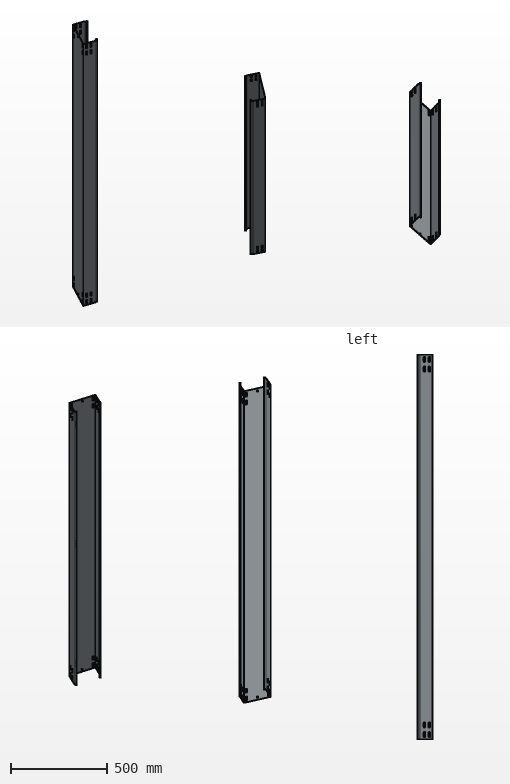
import cadquery as cq
import math

length = 2000.0
width = 150.0
depth = 80.0
sheet = 1.0

jog_start_y = 65.6
jog_inset = 2.5
jog_angle = math.radians(60)
bend_inner_radius = 1.0
curl_outer_radius = 4.0
curl_return_length = 3.0

slot_end_distances = (25.0, 75.0)
slot_length = 25.0
slot_width = 7.0
slot_axis_angle = 90
web_slot_side_distance = 12.5
flange_slot_rows_y = (17.5, 43.0)

web_hole_diameter = slot_width
web_hole_end_distance = 17.5

bend_radius = bend_inner_radius + sheet / 2
curl_radius = curl_outer_radius - sheet / 2
jog_slope_length = (jog_inset - 2 * bend_radius * (1 - math.cos(jog_angle))) / math.sin(jog_angle)
jog_height = 2 * bend_radius * math.sin(jog_angle) + jog_slope_length * math.cos(jog_angle)
upper_wall_length = depth - curl_outer_radius - jog_start_y - jog_height

flange_path = [
    (jog_start_y, 0),
    (bend_radius, jog_angle),
    (jog_slope_length, 0),
    (bend_radius, -jog_angle),
    (upper_wall_length, 0),
    (curl_radius, math.pi),
    (curl_return_length, 0),
]


def make_web():
    """Flat back of the channel."""
    return cq.Workplane("XY").box(width, sheet, length, centered=(True, False, False))


def trace_side(offset):
    """Points along the flange path, moved sideways by offset (positive is inward).

    Each entry is (end point,) for a straight stretch or (mid point, end point) for a bend;
    the first entry is the start point.
    """
    x, y, heading = -width / 2 + sheet / 2 + offset, 0.0, 0.0
    stretches = [((x, y),)]
    for size, angle in flange_path:
        if angle == 0:
            x += size * math.sin(heading)
            y += size * math.cos(heading)
            stretches.append(((x, y),))
            continue
        reach = math.copysign(size, angle) - offset
        center_x = x + reach * math.cos(heading)
        center_y = y - reach * math.sin(heading)
        bend_points = []
        for turned in (heading + angle / 2, heading + angle):
            x = center_x - reach * math.cos(turned)
            y = center_y + reach * math.sin(turned)
            bend_points.append((x, y))
        heading += angle
        stretches.append(tuple(bend_points))
    return stretches


def make_left_flange():
    """Flange at -X with the inward jog and the rolled top edge."""
    outer = trace_side(-sheet / 2)
    inner = trace_side(sheet / 2)
    profile = cq.Workplane("XY").moveTo(*outer[0][-1])
    for stretch in outer[1:]:
        profile = profile.lineTo(*stretch[0]) if len(stretch) == 1 else profile.threePointArc(*stretch)
    profile = profile.lineTo(*inner[-1][-1])
    for stretch, previous in zip(inner[:0:-1], inner[-2::-1]):
        end = previous[-1]
        profile = profile.lineTo(*end) if len(stretch) == 1 else profile.threePointArc(stretch[0], end)
    return profile.close().extrude(length)


def end_positions(end_distance):
    """Heights at the given distance from the bottom end and from the top end."""
    return (end_distance, length - end_distance)


def slot_heights():
    """Heights of all slot centres in one row."""
    return [z for distance in slot_end_distances for z in end_positions(distance)]


def make_web_cutters():
    """Slots along both sides of the web, and the round end holes."""
    slot_x = width / 2 - web_slot_side_distance
    slot_points = [(x, z) for x in (-slot_x, slot_x) for z in slot_heights()]
    hole_points = [(0, z) for z in end_positions(web_hole_end_distance)]
    plane = cq.Workplane("XZ", origin=(0, sheet, 0))
    slots = plane.pushPoints(slot_points).slot2D(slot_length, slot_width, slot_axis_angle).extrude(sheet)
    holes = plane.pushPoints(hole_points).circle(web_hole_diameter / 2).extrude(sheet)
    return slots.union(holes)


def make_flange_cutter():
    """Rows of slots running through both flanges."""
    slot_points = [(y, z) for y in flange_slot_rows_y for z in slot_heights()]
    plane = cq.Workplane("YZ", origin=(-width / 2, 0, 0))
    return plane.pushPoints(slot_points).slot2D(slot_length, slot_width, slot_axis_angle).extrude(width)


left_flange = make_left_flange()
channel = make_web().union(left_flange).union(left_flange.mirror("YZ"))
result = channel.cut(make_web_cutters()).cut(make_flange_cutter())